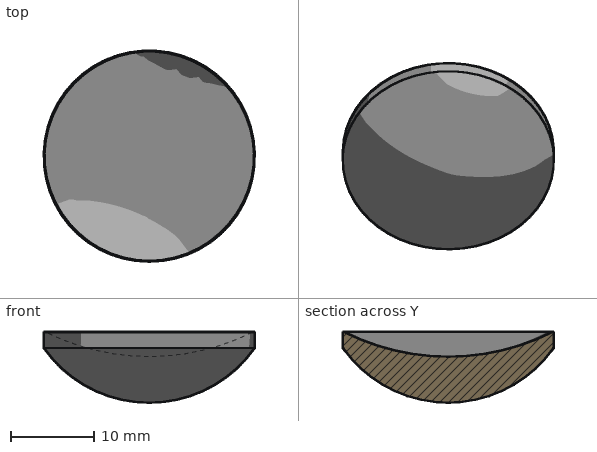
import cadquery as cq

diameter = 25.4
total_height = 8.55
edge_height = 1.95
bevel = 0.13
concave_sag = 3.0

edge_radius = diameter / 2
bowl_radius = edge_radius - bevel
convex_sag = total_height - edge_height


def arc_height(radius, sag):
    """Height above a spherical cap's lowest point, halfway out to its rim."""
    sphere_radius = (radius**2 + sag**2) / (2 * sag)
    return sphere_radius - (sphere_radius**2 - (radius / 2) ** 2) ** 0.5


bowl_bottom = total_height - concave_sag
profile = (
    cq.Workplane("XZ")
    .threePointArc((edge_radius / 2, arc_height(edge_radius, convex_sag)), (edge_radius, convex_sag))
    .lineTo(edge_radius, total_height - bevel)
    .lineTo(bowl_radius, total_height)
    .threePointArc(
        (bowl_radius / 2, bowl_bottom + arc_height(bowl_radius, concave_sag)),
        (0, bowl_bottom),
    )
    .close()
)

lens = profile.revolve(360, (0, 0), (0, 1))
result = lens.rotate((0, 0, 0), (0, 0, 1), -90)